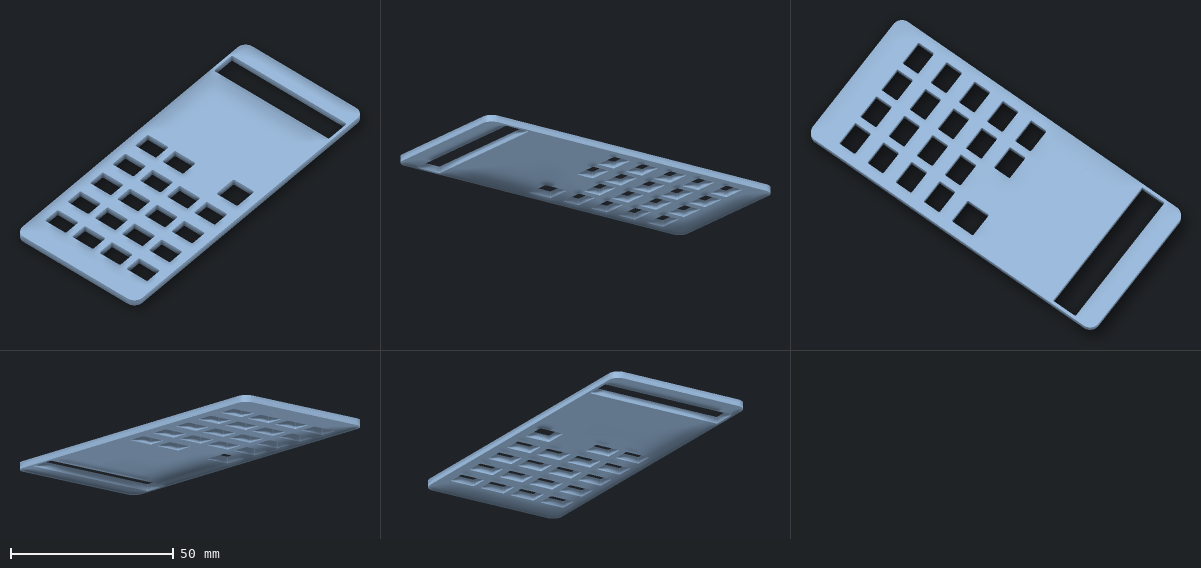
import cadquery as cq

plate_width = 48.3
plate_length = 109.2
plate_thickness = 2.2
plate_corner_radius = 3.3

inlay_depth = 0.2

opening_corner_radius = 0.4

window_width = 46.3
window_height = 8.6
window_center_y = 43.1

key_width = 8.4
key_height = 6.1
tall_key_height = 8.2
key_pitch_x = 10.9
key_columns = 4
key_rows = 5
top_row_center_y = 1.2
bottom_row_center_y = -41.8
key_pitch_y = (top_row_center_y - bottom_row_center_y) / (key_rows - 1)
empty_column = 2
tall_key_column = 3

label_left = -20.6
label_width = 41.7
label_top = 26.5
label_height = 9.3
strip_width = 20.4
strip_height = 2.6
strip_offset = 2.6
strip_top = label_top - strip_offset

pin_size = 2.6
pin_x = plate_width / 2 - plate_corner_radius
pin_y = plate_length / 2 - plate_corner_radius
pin_centers = [(x, y) for x in (-pin_x, pin_x) for y in (-pin_y, pin_y)]


def rounded_block(width, height, radius, center_x=0.0, center_y=0.0):
    """Full-thickness block with rounded vertical edges."""
    block = cq.Workplane("XY").box(width, height, plate_thickness, centered=(True, True, False))
    return block.edges("|Z").fillet(radius).translate((center_x, center_y, 0))


def inlay_block(left, top, width, height):
    """Shallow rectangular block whose upper face is flush with the plate."""
    block = cq.Workplane("XY").box(width, height, inlay_depth, centered=False)
    return block.translate((left, top - height, plate_thickness - inlay_depth))


def make_key_openings():
    """Cutters for every key position; keys in a row share their lower edge."""
    openings = []
    for row in range(key_rows):
        row_bottom = top_row_center_y - row * key_pitch_y - key_height / 2
        for column in range(key_columns):
            if row == 0 and column == empty_column:
                continue
            is_tall = row == 0 and column == tall_key_column
            height = tall_key_height if is_tall else key_height
            center_x = (column - (key_columns - 1) / 2) * key_pitch_x
            center_y = row_bottom + height / 2
            openings.append(rounded_block(key_width, height, opening_corner_radius, center_x, center_y))
    return openings


def make_pin(center):
    """Pin with a thin square head flush with the plate and a round shaft down to its underside."""
    shaft_length = plate_thickness - inlay_depth
    shaft = cq.Workplane("XY").center(*center).circle(pin_size / 2).extrude(shaft_length)
    head = cq.Workplane("XY").workplane(offset=shaft_length).center(*center)
    head = head.rect(pin_size, pin_size).extrude(inlay_depth)
    return shaft.union(head)


def make_plate():
    """Face plate with its window, key openings, label recess and pin seats."""
    plate = rounded_block(plate_width, plate_length, plate_corner_radius)
    plate = plate.cut(rounded_block(window_width, window_height, opening_corner_radius, 0, window_center_y))
    for opening in make_key_openings():
        plate = plate.cut(opening)
    plate = plate.cut(inlay_block(label_left, label_top, label_width, label_height))
    for center in pin_centers:
        plate = plate.cut(make_pin(center))
    return plate


plate = make_plate()
strip = inlay_block(label_left, strip_top, strip_width, strip_height)
label = inlay_block(label_left, label_top, label_width, label_height).cut(strip)
pins = [make_pin(center) for center in pin_centers]

result = cq.Compound.makeCompound([plate.val(), label.val(), strip.val(), *[pin.val() for pin in pins]])